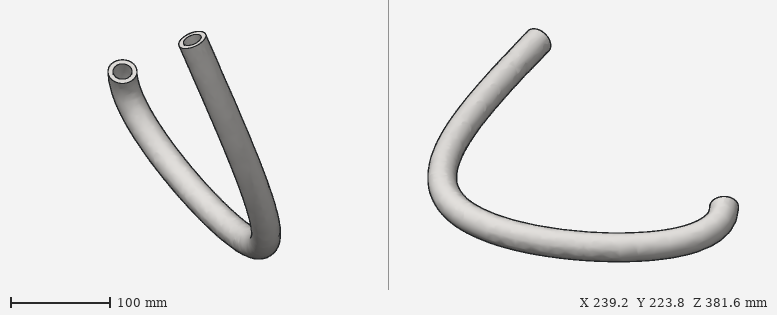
import cadquery as cq

OUTER_DIAMETER = 29.5
BORE_DIAMETER = 19.0

LOW_END = (0, 0, 0)
HIGH_END = (119.7, -151.8, 306.0)
START_DROP = 126.0
INNER_POLES = [
    (251.0, -215.5, -13.7),
    (278.7, -236.8, -4.2),
    (177.5, -185.0, 195.2),
]


def make_centreline():
    """Smooth space curve from the low end, round the bend, up to the high end."""
    poles = [LOW_END, (0, 0, -START_DROP), *INNER_POLES, HIGH_END]
    return cq.Workplane("XY").bezier(poles)


def make_hose(centreline):
    """Annular section swept along the centreline."""
    section = cq.Workplane("XY").circle(OUTER_DIAMETER / 2).circle(BORE_DIAMETER / 2)
    return section.sweep(centreline)


result = make_hose(make_centreline())